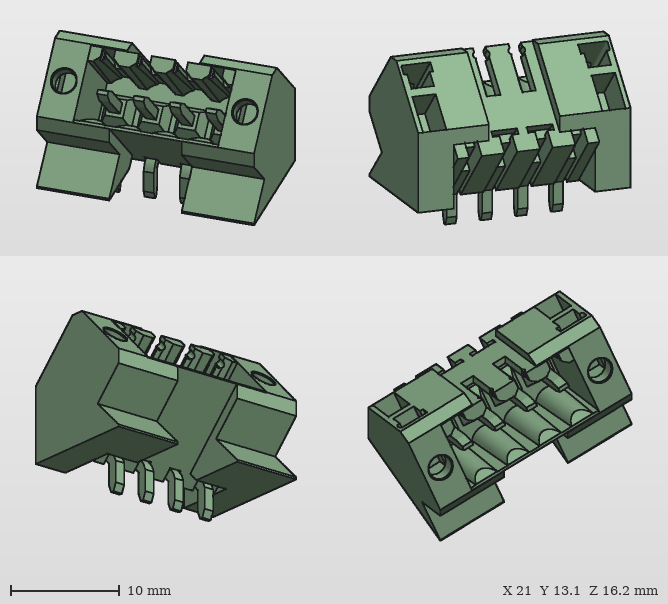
import cadquery as cq
import math


ROOT2 = math.sqrt(2)

length = 21.0
pitch = length / 6
pin_xs = [(i - 1.5) * pitch for i in range(4)]

flank_width = 2 * pitch
flank_depth = 12.1
flank_top = 13.06
front_corner_z = 7.73
front_face_height = 1.47
notch_depth = 3.07
toe_height = 0.2
top_flat_front = flank_top - front_corner_z
back_corner_z = 7.69
top_flat_back = flank_depth - (flank_top - back_corner_z)

block_width = 4 * pitch
block_depth = 11.15
block_setback = 0.06
block_height = 7.43
block_frame = cq.Plane(origin=(0, 0, front_corner_z), xDir=(1, 0, 0), normal=(0, -1, 1))
flank_slope_v = (flank_depth + back_corner_z - front_corner_z) / ROOT2

cavity_depth = 8.2
lower_wall = 0.27
upper_wall = 1.43
cavity_top = block_height - upper_wall

lobe_radius = 1.51
lobe_axis_offset = 0.92
lobe_draft = math.radians(1)
rib_lead_in = 1.18
rib_lead_in_height = 0.63

mouth_width = 1.24
mouth_depth = 1.24
slot_depth = 5.15
waist_width = 0.85
waist_below_top = 0.6
slot_top_width = 1.35
channel_width = 2.18
relief_radius = 0.38
relief_offset = 0.45
relief_depth = 0.82

pedestal_base = 2.98
pedestal_top = 1.75
pedestal_height = 1.43

rear_slot_width = 1.24
rear_slot_depth = 1.5
cross_width = 2.55
cross_near = 1.8
cross_far = 2.4
cross_height = 0.92

screw_x = 2.5 * pitch
screw_v = block_height / 2
screw_radius = 1.13
screw_chamfer = 0.1
nut_front = 1.51
nut_width = 2.9
nut_length = 0.97
nut_corner_radius = 0.17
nut_slot_width = 2.23
nut_slot_length = 2.48
rear_pocket_x = 8.86
rear_pocket_width = 2.3
rear_pocket_length = 3.75
rear_pocket_depth = 3.78

pin_size = 1.0
pin_v = 3.53
blade_tip_depth = 1.28
blade_taper = 1.2
blade_tip_size = 0.4
leg_bottom = -3.17
leg_taper = 0.78
leg_tip_size = 0.35
leg_y = 6.78
bend_bottom = -0.25
bend_flat = 0.38
bend_radius = 2.08
bend_angle = math.radians(22.5)


def lean(body):
    """Move a body from the block frame into the part."""
    return body.val().moved(cq.Location(block_frame))


def block_box(x, width, v_low, v_high, near, far):
    """Box in the block frame, between two depths behind the front face."""
    size = (width, v_high - v_low, far - near)
    return cq.Workplane("XY").box(*size, centered=(True, False, False)).translate((x, v_low, -far))


def lobe(x, v):
    """Conical segment standing on a flat at height v, widening from the front to the cavity floor."""
    cone = cq.Solid.makeCone(
        lobe_radius,
        lobe_radius + cavity_depth * math.tan(lobe_draft),
        cavity_depth,
        pnt=cq.Vector(x, v - lobe_axis_offset, 0),
        dir=cq.Vector(0, 0, -1),
    )
    return block_box(x, pitch, v, v + pitch, 0, cavity_depth).intersect(cq.Workplane(cone))


def flank(side):
    """End piece with a V notch low in its front."""
    notch_z = front_corner_z - front_face_height - notch_depth
    outline = [
        (0, 0),
        (flank_depth, 0),
        (flank_depth, back_corner_z),
        (top_flat_back, flank_top),
        (top_flat_front, flank_top),
        (0, front_corner_z),
        (0, front_corner_z - front_face_height),
        (notch_depth, notch_z),
        (0, toe_height),
    ]
    start = -length / 2 if side < 0 else length / 2 - flank_width
    return cq.Workplane("YZ", origin=(start, 0, 0)).polyline(outline).close().extrude(flank_width)


def tapered_slot(x, v_low, low_width, v_high, high_width, near, far):
    """Slot with a trapezoid section in the block frame, between two depths."""
    outline = [
        (-low_width / 2, v_low),
        (low_width / 2, v_low),
        (high_width / 2, v_high),
        (-high_width / 2, v_high),
    ]
    return cq.Workplane("XY", origin=(x, 0, -near)).polyline(outline).close().extrude(near - far)


def wall_slot(x):
    """Slot through the upper wall, with the channel below it and relief holes beside its mouth."""
    waist_v = block_height - waist_below_top
    mouth = block_box(x, mouth_width, cavity_top, block_height, 0, mouth_depth)
    slot = tapered_slot(x, waist_v, waist_width, block_height, slot_top_width, mouth_depth, slot_depth)
    channel = tapered_slot(x, cavity_top, channel_width, waist_v, waist_width, 0, cavity_depth)
    reliefs = (
        cq.Workplane("XZ", origin=(x, cavity_top, 0))
        .pushPoints([(-relief_offset, -relief_depth), (relief_offset, -relief_depth)])
        .circle(relief_radius)
        .extrude(-upper_wall)
    )
    return channel.union(mouth).union(slot).union(reliefs)


def rib(x):
    """Rounded rib on the lower wall, ramped at the front as a lead-in."""
    ramp_top = lower_wall + rib_lead_in_height
    ramp = (
        cq.Workplane("YZ", origin=(x - pitch / 2, 0, 0))
        .polyline([(lower_wall, 0), (ramp_top, -rib_lead_in), (ramp_top, 0)])
        .close()
        .extrude(pitch)
    )
    return lobe(x, lower_wall).cut(ramp)


def pedestal(x):
    """Tapered block around a pin on the cavity floor."""
    return (
        cq.Workplane("XY", origin=(x, pin_v, -cavity_depth))
        .rect(pedestal_base, pedestal_base)
        .workplane(offset=pedestal_height)
        .rect(pedestal_top, pedestal_top)
        .loft(ruled=True)
    )


def rear_slot(x):
    """Riser slot at the rear, open above and below, with the cross recess at its top."""
    front = block_depth - rear_slot_depth
    channel = block_box(x, rear_slot_width, 0, block_height, front, block_depth)
    recess_low = block_height - cross_height
    stem = block_box(x, rear_slot_width, recess_low, block_height, block_depth - cross_far, front)
    cross = block_box(
        x, cross_width, recess_low, block_height, block_depth - cross_far, block_depth - cross_near
    )
    return channel.union(stem).union(cross)


def rear_opening():
    """Space below and behind the block that lets the pin risers in between the flanks."""
    far = block_depth + block_height
    below = block_box(0, block_width, -block_height, 0, block_depth - rear_slot_depth, far)
    behind = block_box(0, block_width, 0, block_height, block_depth, far)
    return below.union(behind)


def screw_cuts(side):
    """Screw hole with its nut pocket and the blind pocket behind it."""
    x = side * screw_x
    hole = (
        cq.Workplane("XY", origin=(x, screw_v, 0))
        .circle(screw_radius + screw_chamfer)
        .workplane(offset=-screw_chamfer)
        .circle(screw_radius)
        .loft()
        .union(cq.Workplane("XY", origin=(x, screw_v, 0)).circle(screw_radius).extrude(-nut_front))
    )
    nut_low = screw_v - nut_width / 2
    nut = block_box(x, nut_width, nut_low, flank_slope_v, nut_front, nut_front + nut_length)
    nut = nut.edges("|Y").edges(">X" if side > 0 else "<X").fillet(nut_corner_radius)
    nut_slot = block_box(
        x, nut_slot_width, nut_low, flank_slope_v, nut_front, nut_front + nut_slot_length
    )
    rear_end = (flank_depth - back_corner_z + front_corner_z) / ROOT2
    rear_pocket = block_box(
        side * rear_pocket_x,
        rear_pocket_width,
        flank_slope_v - rear_pocket_depth,
        flank_slope_v,
        rear_end - rear_pocket_length,
        rear_end,
    )
    return hole.union(nut).union(nut_slot).union(rear_pocket)


def make_housing():
    body = cq.Workplane(lean(block_box(0, block_width, 0, block_height, 0, block_depth)))
    for side in (-1, 1):
        body = body.union(flank(side))
    body = body.cut(cq.Workplane(lean(rear_opening())))

    cavity = block_box(0, block_width, lower_wall, cavity_top, 0, cavity_depth)
    for x in pin_xs:
        cavity = cavity.union(lobe(x, cavity_top))
        cavity = cavity.union(wall_slot(x))
        cavity = cavity.cut(rib(x))
        cavity = cavity.cut(pedestal(x))
    front_recess = block_box(0, block_width, 0, block_height, 0, block_setback)
    body = body.cut(cq.Workplane(lean(cavity.union(front_recess))))

    for x in pin_xs:
        body = body.cut(cq.Workplane(lean(rear_slot(x))))
        low = pin_v - pin_size / 2
        pin_hole = block_box(
            x, pin_size, low, low + pin_size, blade_tip_depth, block_depth - rear_slot_depth
        )
        body = body.cut(cq.Workplane(lean(pin_hole)))

    for side in (-1, 1):
        body = body.cut(cq.Workplane(lean(screw_cuts(side))))
    return body


def in_part(depth, v):
    """Part (y, z) of a point given by its depth behind the block front and its height."""
    return ((v + depth) / ROOT2, front_corner_z + (v - depth) / ROOT2)


def make_pin(x):
    """Square pin: pointed leaning blade, riser behind it and pointed vertical leg."""
    half = pin_size / 2
    quarter_turn = math.pi / 4
    leg_front = leg_y - half
    leg_back = leg_y + half

    flat_top = (
        leg_front + bend_flat * math.sin(bend_angle),
        bend_bottom + bend_flat * math.cos(bend_angle),
    )

    def on_bend(angle):
        return (
            flat_top[0] + bend_radius * (math.cos(bend_angle) - math.cos(angle)),
            flat_top[1] + bend_radius * (math.sin(angle) - math.sin(bend_angle)),
        )

    bend_top = on_bend(quarter_turn)
    bend_middle = on_bend((bend_angle + quarter_turn) / 2)

    riser_front = (bend_top[0] - bend_top[1] + front_corner_z) / ROOT2
    riser_back = riser_front + pin_size
    leg_back_top = leg_back + front_corner_z - riser_back * ROOT2
    blade_shoulder = blade_tip_depth + blade_taper
    leg_shoulder = leg_bottom + leg_taper

    profile = (
        cq.Workplane("YZ", origin=(x - half, 0, 0))
        .moveTo(leg_y - leg_tip_size / 2, leg_bottom)
        .lineTo(leg_front, leg_shoulder)
        .lineTo(leg_front, bend_bottom)
        .lineTo(*flat_top)
        .threePointArc(bend_middle, bend_top)
        .lineTo(*in_part(riser_front, pin_v - half))
        .lineTo(*in_part(blade_shoulder, pin_v - half))
        .lineTo(*in_part(blade_tip_depth, pin_v - blade_tip_size / 2))
        .lineTo(*in_part(blade_tip_depth, pin_v + blade_tip_size / 2))
        .lineTo(*in_part(blade_shoulder, pin_v + half))
        .lineTo(*in_part(riser_back, pin_v + half))
        .lineTo(leg_back, leg_back_top)
        .lineTo(leg_back, leg_shoulder)
        .lineTo(leg_y + leg_tip_size / 2, leg_bottom)
        .close()
    )
    return profile.extrude(pin_size)


housing = make_housing()
pins = [make_pin(x) for x in pin_xs]

result = cq.Compound.makeCompound([housing.val(), *[pin.val() for pin in pins]])